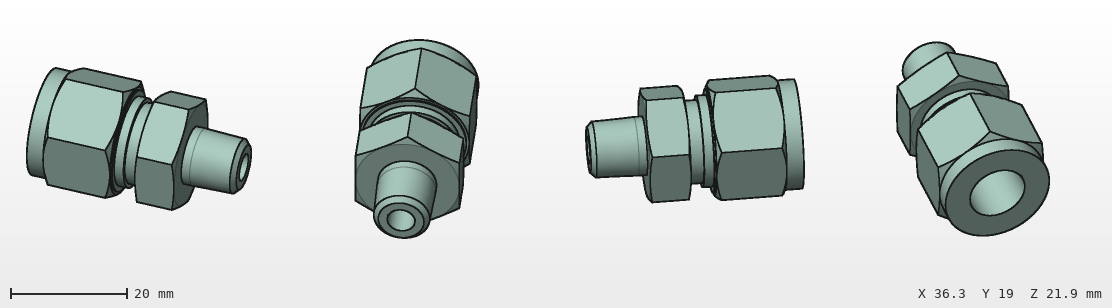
import math

import cadquery as cq


collar_end = 2.98
nut_end = 15.15
washer_end = 15.43
shoulder_end = 17.1
neck_end = 19.53
body_hex_end = 26.65
thread_start = 28.15
total_length = 36.3

nut_flats = 19.0
body_flats = 18.0
nut_chamfer_angle = 30
body_chamfer_angle = 15

collar_diameter = nut_flats
washer_diameter = body_flats
shoulder_diameter = 15.9
neck_diameter = 14.4
thread_diameter = 10.2
tube_bore_diameter = 10.02
flow_bore_diameter = 4.8

thread_taper = 1 / 16
tip_chamfer = 0.9

tube_bore_depth = shoulder_end


def cylinder(diameter, start, end):
    """Round bar on the X axis between two places."""
    return cq.Workplane("YZ", origin=(start, 0, 0)).circle(diameter / 2).extrude(end - start)


def chamfered_hexagon(flats, start, end, chamfer_angle):
    """Hexagon bar whose corners are turned to a cone at both ends.

    Each cone starts from the circle inscribed in the end face.
    """
    length = end - start
    inner_radius = flats / 2
    corner_radius = inner_radius / math.cos(math.radians(30))
    setback = (corner_radius - inner_radius) * math.tan(math.radians(chamfer_angle))
    bar = (
        cq.Workplane("YZ", origin=(start, 0, 0))
        .polygon(6, 2 * corner_radius)
        .extrude(length)
        .rotate((0, 0, 0), (1, 0, 0), 30)
    )
    turned_blank = (
        cq.Workplane("XY")
        .moveTo(start, 0)
        .lineTo(start, inner_radius)
        .lineTo(start + setback, corner_radius)
        .lineTo(end - setback, corner_radius)
        .lineTo(end, inner_radius)
        .lineTo(end, 0)
        .close()
        .revolve(360, (0, 0, 0), (1, 0, 0))
    )
    return bar.intersect(turned_blank)


def threaded_end():
    """Straight run-out, tapered thread cone and 45 degree tip chamfer."""
    base_radius = thread_diameter / 2
    chamfer_start = total_length - tip_chamfer
    front_radius = base_radius - (chamfer_start - thread_start) * thread_taper / 2
    return (
        cq.Workplane("XY")
        .moveTo(body_hex_end, 0)
        .lineTo(body_hex_end, base_radius)
        .lineTo(thread_start, base_radius)
        .lineTo(chamfer_start, front_radius)
        .lineTo(total_length, front_radius - tip_chamfer)
        .lineTo(total_length, 0)
        .close()
        .revolve(360, (0, 0, 0), (1, 0, 0))
    )


fitting = cylinder(collar_diameter, 0, collar_end)
fitting = fitting.union(chamfered_hexagon(nut_flats, collar_end, nut_end, nut_chamfer_angle))

fitting = fitting.union(cylinder(washer_diameter, nut_end, washer_end))
fitting = fitting.union(cylinder(shoulder_diameter, washer_end, shoulder_end))
fitting = fitting.union(cylinder(neck_diameter, shoulder_end, neck_end))
fitting = fitting.union(chamfered_hexagon(body_flats, neck_end, body_hex_end, body_chamfer_angle))
fitting = fitting.union(threaded_end())

fitting = fitting.cut(cylinder(tube_bore_diameter, 0, tube_bore_depth))
fitting = fitting.cut(cylinder(flow_bore_diameter, 0, total_length))

result = fitting